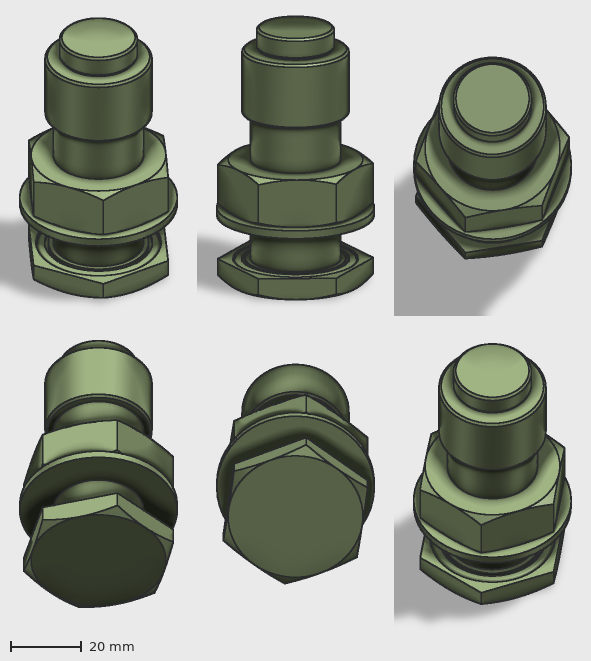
import cadquery as cq
import math

total_height = 74.6
head_height = 6.3
washer_bottom = 19.1
washer_thickness = 2.3
nut_height = 14.0
sleeve_bottom = 49.1
sleeve_top = 68.2
button_bottom = 68.6

shaft_diameter = 25.5
sleeve_diameter = 30.2
button_diameter = 22.0
washer_diameter = 44.45
edge_chamfer = 0.7
button_lower_chamfer = 0.45

across_flats = 38.05
across_corners = across_flats / math.cos(math.pi / 6)
head_chamfer_drop = 1.6
nut_chamfer_drop = 1.35

groove_inner_diameter = 28.35
groove_outer_diameter = 35.3
groove_depth = 1.2
seal_inner_diameter = 30.4
seal_outer_diameter = 34.9
seal_edge_radius = 1.1


def cylinder(diameter, bottom, top):
    return cq.Workplane("XY", origin=(0, 0, bottom)).circle(diameter / 2).extrude(top - bottom)


def ring(inner_diameter, outer_diameter, bottom, top):
    return cylinder(outer_diameter, bottom, top).cut(cylinder(inner_diameter, bottom, top))


def hexagon(bottom, height, corner_drop, chamfer_top):
    """Hex prism with corners on the X axis, coned off at the bottom and optionally the top."""
    prism = cq.Workplane("XY", origin=(0, 0, bottom)).polygon(6, across_corners).extrude(height)
    corner_width = (across_corners - across_flats) / 2
    envelope = cylinder(across_corners, bottom, bottom + height)
    envelope = envelope.faces("<Z").chamfer(corner_drop, corner_width)
    if chamfer_top:
        envelope = envelope.faces(">Z").chamfer(corner_drop, corner_width)
    return prism.intersect(envelope)


def head():
    """Hex head with the seal ring standing on the floor of its groove, flush with the face."""
    floor = head_height - groove_depth
    body = hexagon(0, head_height, head_chamfer_drop, chamfer_top=False)
    body = body.cut(ring(groove_inner_diameter, groove_outer_diameter, floor, head_height))
    seal = cylinder(seal_outer_diameter, floor, head_height).faces(">Z").edges().fillet(seal_edge_radius)
    seal = seal.cut(cylinder(seal_inner_diameter, floor, head_height))
    return body.union(seal)


washer_top = washer_bottom + washer_thickness
shaft = cylinder(shaft_diameter, 0, sleeve_bottom)
washer = cylinder(washer_diameter, washer_bottom, washer_top)
nut = hexagon(washer_top, nut_height, nut_chamfer_drop, chamfer_top=True)
sleeve = cylinder(sleeve_diameter, sleeve_bottom, sleeve_top).faces("<Z or >Z").chamfer(edge_chamfer)

button = cylinder(button_diameter, button_bottom, total_height)
button = button.faces(">Z").chamfer(edge_chamfer).faces("<Z").chamfer(button_lower_chamfer)
neck = cylinder(button_diameter - 2 * edge_chamfer, sleeve_top, button_bottom + button_lower_chamfer)

result = head().union(shaft).union(washer).union(nut).union(sleeve).union(neck).union(button)